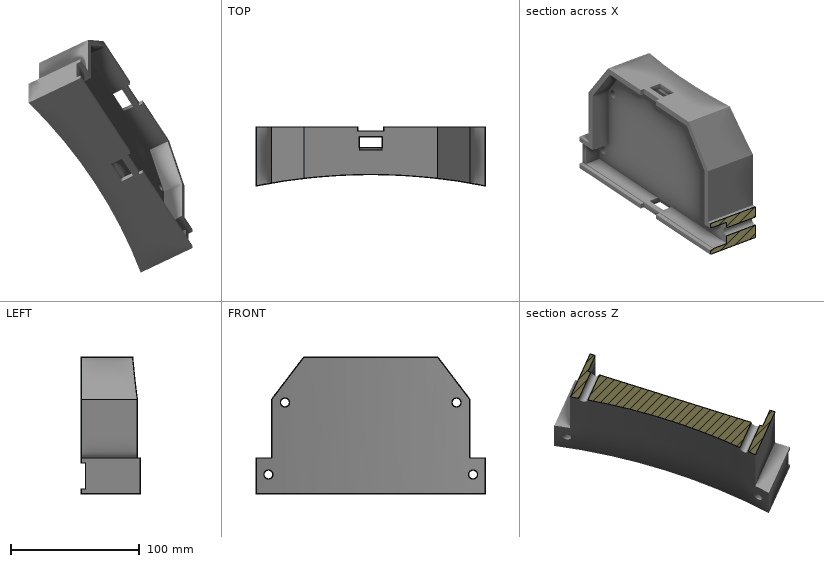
import cadquery as cq

length = 178.0
depth = 46.0
height = 106.0

half_length = length / 2
ear_height = 28.0
body_half_width = 76.9
shoulder_height = 73.3
roof_half_width = 52.0

front_rise = 8.9

wall = 4.6
cavity_depth = 15.8

channel_width = 20.0
channel_depth = 3.2
side_channel_z = 13.9

window_length = 17.8
window_width = 10.3
window_setback = 7.8

hole_diameter = 6.8
upper_hole_x = 66.5
upper_hole_z = 70.8
ear_hole_x = 79.4
ear_hole_z = 15.0


def outline_prism(prism_depth):
    """Stepped and sloped silhouette, extruded from the back toward -Y."""
    right_side = [
        (half_length, 0),
        (half_length, ear_height),
        (body_half_width, ear_height),
        (body_half_width, shoulder_height),
        (roof_half_width, height),
    ]
    left_side = [(-x, z) for x, z in reversed(right_side)]
    return cq.Workplane("XZ").polyline(right_side + left_side).close().extrude(prism_depth)


def front_hollow():
    """Upright circular segment that curves the front face inward."""
    return (
        cq.Workplane("XY")
        .moveTo(-half_length, -depth)
        .threePointArc((0, -depth + front_rise), (half_length, -depth))
        .close()
        .extrude(height)
    )


def cavity():
    """Pocket open at the back, one wall thickness inside the silhouette."""
    back_edge = outline_prism(cavity_depth).faces(">Y").wires().val()
    inner_edge = back_edge.offset2D(-wall, "intersection")[0]
    return cq.Workplane("XZ").add(inner_edge).toPending().extrude(cavity_depth)


def channels():
    """One channel runs along X through both ears, one along Z through roof and bottom."""
    along_x = cq.Workplane("XY").box(length, 2 * channel_depth, channel_width)
    along_z = cq.Workplane("XY").box(channel_width, 2 * channel_depth, height)
    return along_x.translate((0, 0, side_channel_z)).union(along_z.translate((0, 0, height / 2)))


def windows():
    """Matching rectangular openings, each one wall thickness deep."""
    window_y = -(window_setback + window_width / 2)
    opening = cq.Workplane("XY").box(window_length, window_width, wall)
    roof_opening = opening.translate((0, window_y, height - wall / 2))
    bottom_opening = opening.translate((0, window_y, wall / 2))
    return roof_opening.union(bottom_opening)


def screw_holes():
    """Mirrored pairs of bores running right through along Y."""
    points = []
    for side in (-1, 1):
        points.append((side * upper_hole_x, upper_hole_z))
        points.append((side * ear_hole_x, ear_hole_z))
    return cq.Workplane("XZ").pushPoints(points).circle(hole_diameter / 2).extrude(depth)


result = outline_prism(depth).cut(front_hollow())
for cutter in (cavity(), channels(), windows(), screw_holes()):
    result = result.cut(cutter)